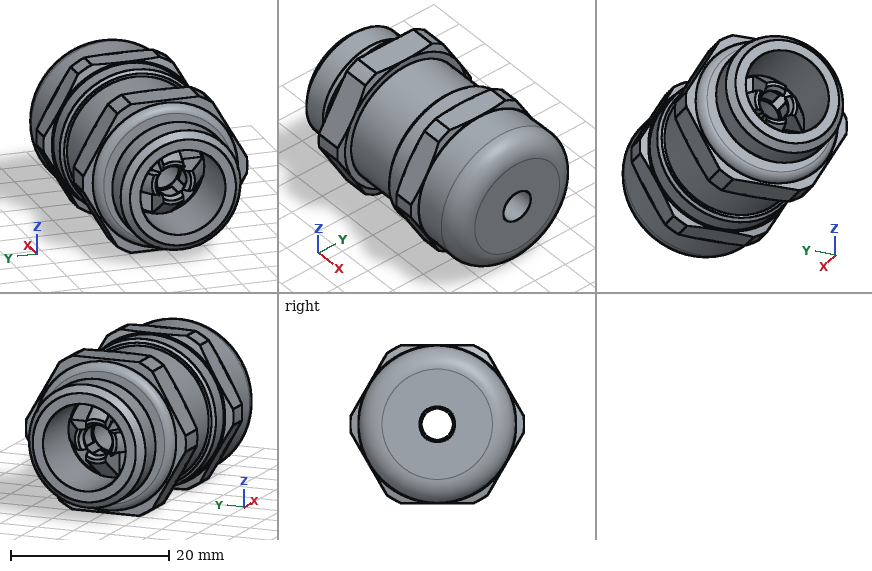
import cadquery as cq
import math

length = 33.0
front_x = -length / 2

thread_end = 4.2
neck_start = 5.1
seal_start = 5.65
body_hex_start = 6.95
body_hex_end = 11.0
collar_start = 19.05
cap_hex_start = 22.0
cap_hex_end = 25.5
dome_start = 30.0

thread_radius = 16.0 / 2
neck_radius = 14.15 / 2
seal_radius = 9.67
seal_face_radius = 8.65
body_radius = 18.0 / 2
collar_radius = 19.6 / 2
cap_base_radius = 9.93
cap_radius = 19.95 / 2

thread_chamfer = thread_radius - neck_radius
collar_chamfer = 0.43
cap_round = length - dome_start

across_flats = 20.0
across_corners = across_flats / math.cos(math.pi / 6)
corner_radius = 21.98 / 2
hex_chamfer = 0.33

bore_radius = 11.35 / 2
bore_depth = 8.25
hole_radius = 4.5 / 2
floor_rim_gap = 0.2
prong_width = 2.65
prong_tip = 3.73
prong_throat = 4.45
tip_outer_radius = 2.87
tip_inner_radius = 2.38
throat_radius = 1.98
flare_length = 1.32
flare_radius = 2.55


def axial_revolve(profile):
    """Turn a closed half profile, drawn as (x, radius), around the X axis."""
    return profile.close().revolve(360, (0, 0, 0), (1, 0, 0))


def turned_body():
    """Threaded end, neck, seal ring, sleeve, collar and domed cap."""
    round_45 = math.sqrt(0.5)
    seal_width = body_hex_start - seal_start
    seal_rise = seal_radius - seal_face_radius
    seal_round = (seal_width**2 + seal_rise**2) / (2 * seal_rise)
    seal_arc_mid = (
        body_hex_start - seal_round * round_45,
        seal_radius - seal_round * (1 - round_45),
    )
    cap_arc_mid = (
        dome_start + cap_round * round_45,
        cap_radius - cap_round * (1 - round_45),
    )
    profile = (
        cq.Workplane("XY")
        .lineTo(0, thread_radius - thread_chamfer)
        .lineTo(thread_chamfer, thread_radius)
        .lineTo(thread_end, thread_radius)
        .lineTo(neck_start, neck_radius)
        .lineTo(seal_start, neck_radius)
        .lineTo(seal_start, seal_face_radius)
        .threePointArc(seal_arc_mid, (body_hex_start, seal_radius))
        .lineTo(body_hex_start, body_radius)
        .lineTo(collar_start, body_radius)
        .lineTo(collar_start, collar_radius - collar_chamfer)
        .lineTo(collar_start + collar_chamfer, collar_radius)
        .lineTo(cap_hex_end, collar_radius)
        .lineTo(cap_hex_end, cap_base_radius)
        .lineTo(dome_start, cap_radius)
        .threePointArc(cap_arc_mid, (length, cap_radius - cap_round))
        .lineTo(length, 0)
    )
    return axial_revolve(profile)


def hexagon(start, end, chamfer_front):
    """Hexagon with flats facing +Z and -Z, its corners turned round and chamfered."""
    prism = (
        cq.Workplane("YZ", origin=(start, 0, 0))
        .polygon(6, across_corners)
        .extrude(end - start)
    )
    flat_radius = across_flats / 2
    profile = cq.Workplane("XY").moveTo(start, 0)
    if chamfer_front:
        profile = profile.lineTo(start, flat_radius).lineTo(start + hex_chamfer, corner_radius)
    else:
        profile = profile.lineTo(start, corner_radius)
    profile = (
        profile.lineTo(end - hex_chamfer, corner_radius)
        .lineTo(end, flat_radius)
        .lineTo(end, 0)
    )
    envelope = axial_revolve(profile)
    return prism.intersect(envelope)


def passage():
    """Wide bore with a bevelled rim around its floor, then a narrow through hole."""
    profile = (
        cq.Workplane("XY")
        .lineTo(0, bore_radius)
        .lineTo(bore_depth + floor_rim_gap, bore_radius)
        .lineTo(bore_depth, bore_radius - floor_rim_gap)
        .lineTo(bore_depth, hole_radius)
        .lineTo(length, hole_radius)
        .lineTo(length, 0)
    )
    return axial_revolve(profile)


def prongs():
    """Four prongs leaning inward from the bore floor toward the threaded end."""
    root = bore_depth + floor_rim_gap
    nose = axial_revolve(
        cq.Workplane("XY")
        .moveTo(prong_tip, tip_inner_radius)
        .lineTo(prong_tip, tip_outer_radius)
        .lineTo(bore_depth, bore_radius)
        .lineTo(root, bore_radius)
        .lineTo(root, flare_radius)
        .lineTo(prong_throat + flare_length, flare_radius)
        .lineTo(prong_throat, throat_radius)
    )
    cross = cq.Workplane("XY").box(length, 2 * length, prong_width)
    cross = cross.union(cq.Workplane("XY").box(length, prong_width, 2 * length))
    return nose.intersect(cross)


gland = turned_body()
gland = gland.union(hexagon(body_hex_start, body_hex_end, chamfer_front=False))
gland = gland.union(hexagon(cap_hex_start, cap_hex_end, chamfer_front=True))
gland = gland.cut(passage()).union(prongs())

result = gland.translate((front_x, 0, 0))